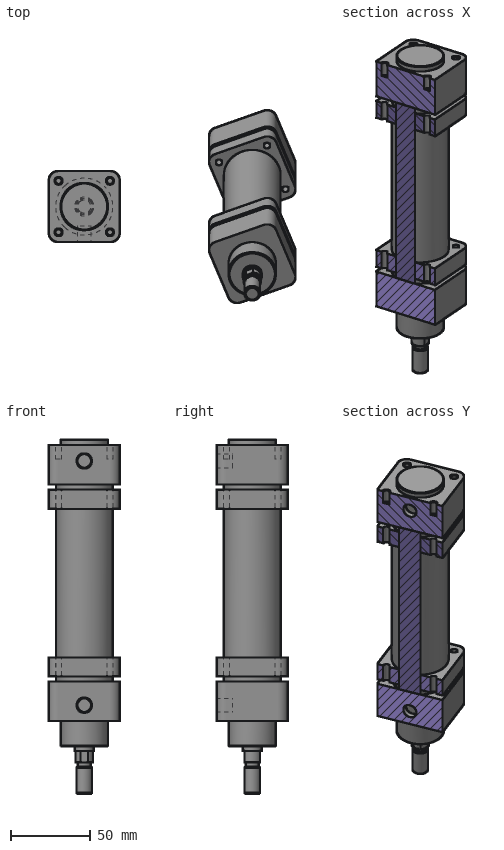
import cadquery as cq

TOTAL_LENGTH = 224.0
BLOCK_WIDTH = 45.0
CORNER_RADIUS = 6.0
BLOCK_HEIGHT = 25.0
FLANGE_HEIGHT = 12.0
FLANGE_GAP = 3.1

BARREL_DIAMETER = 36.0
BOSS_DIAMETER = 30.0
CAP_HEIGHT = 3.5
BOSS_LENGTH = 16.0
CAP_CHAMFER = 0.5
BOSS_CHAMFER = 0.7

PORT_DIAMETER = 8.7
PORT_DEPTH = 10.0
PORT_TO_OUTER_FACE = 10.0
SCREW_SPACING = 32.5
SCREW_HOLE_DIAMETER = 4.0
HEAD_HOLE_DEPTH = 9.0
HOLE_CHAMFER = 0.5

THREAD_DIAMETER = 10.0
THREAD_LENGTH = 17.2
TIP_CHAMFER = 1.0
NECK_DIAMETER = 8.5
NECK_LENGTH = 2.5
FLATS_DIAMETER = 11.2
FLATS_WIDTH = 10.0
FLATS_HEIGHT = 7.5
FLATS_CHAMFER = 0.5
COLLAR_DIAMETER = 12.0
ROD_LENGTH = 30.0

BOSS_BOTTOM = ROD_LENGTH
FRONT_HEAD_BOTTOM = BOSS_BOTTOM + BOSS_LENGTH
FRONT_HEAD_TOP = FRONT_HEAD_BOTTOM + BLOCK_HEIGHT
FRONT_FLANGE_BOTTOM = FRONT_HEAD_TOP + FLANGE_GAP
REAR_HEAD_TOP = TOTAL_LENGTH - CAP_HEIGHT
REAR_HEAD_BOTTOM = REAR_HEAD_TOP - BLOCK_HEIGHT
REAR_FLANGE_BOTTOM = REAR_HEAD_BOTTOM - FLANGE_GAP - FLANGE_HEIGHT


def rounded_block(bottom, height):
    """Square block with rounded vertical corners."""
    return (
        cq.Workplane("XY", origin=(0, 0, bottom))
        .rect(BLOCK_WIDTH, BLOCK_WIDTH)
        .extrude(height)
        .edges("|Z")
        .fillet(CORNER_RADIUS)
    )


def disc(diameter, bottom, height):
    return cq.Workplane("XY", origin=(0, 0, bottom)).circle(diameter / 2).extrude(height)


def chamfered_hole(diameter, depth):
    """Cutter for a blind hole with a chamfered mouth at Z = 0, running towards -Z."""
    mouth_diameter = diameter + 2 * HOLE_CHAMFER
    mouth = cq.Solid.makeCone(mouth_diameter / 2, diameter / 2, HOLE_CHAMFER, dir=cq.Vector(0, 0, -1))
    return disc(diameter, -depth, depth).union(cq.Workplane(mouth))


def port(level):
    """Cutter for a blind round port in the -Y face."""
    hole = chamfered_hole(PORT_DIAMETER, PORT_DEPTH)
    return hole.rotate((0, 0, 0), (1, 0, 0), 90).translate((0, -BLOCK_WIDTH / 2, level))


def screw_positions():
    half_spacing = SCREW_SPACING / 2
    return [(x, y) for x in (-half_spacing, half_spacing) for y in (-half_spacing, half_spacing)]


def make_front_head():
    boss = disc(BOSS_DIAMETER, BOSS_BOTTOM, BOSS_LENGTH).faces("<Z").chamfer(BOSS_CHAMFER)
    return (
        rounded_block(FRONT_HEAD_BOTTOM, BLOCK_HEIGHT)
        .union(boss)
        .cut(port(FRONT_HEAD_BOTTOM + PORT_TO_OUTER_FACE))
    )


def make_rear_head():
    cap = disc(BOSS_DIAMETER, REAR_HEAD_TOP, CAP_HEIGHT).faces(">Z").chamfer(CAP_CHAMFER)
    head = (
        rounded_block(REAR_HEAD_BOTTOM, BLOCK_HEIGHT)
        .union(cap)
        .cut(port(REAR_HEAD_TOP - PORT_TO_OUTER_FACE))
    )
    for x, y in screw_positions():
        head = head.cut(chamfered_hole(SCREW_HOLE_DIAMETER, HEAD_HOLE_DEPTH).translate((x, y, REAR_HEAD_TOP)))
    return head


def make_flange(bottom):
    """Square plate fitted around the barrel, with through screw holes."""
    flange = rounded_block(bottom, FLANGE_HEIGHT).cut(disc(BARREL_DIAMETER, bottom, FLANGE_HEIGHT))
    for x, y in screw_positions():
        flange = flange.cut(disc(SCREW_HOLE_DIAMETER, bottom, FLANGE_HEIGHT).translate((x, y, 0)))
    return flange


def make_barrel():
    return disc(BARREL_DIAMETER, FRONT_HEAD_TOP, REAR_HEAD_BOTTOM - FRONT_HEAD_TOP)


def make_rod():
    """Turned rod with a threaded tip, a narrow neck, two wrench flats and a collar."""
    thread_radius = THREAD_DIAMETER / 2
    neck_radius = NECK_DIAMETER / 2
    flats_radius = FLATS_DIAMETER / 2
    collar_radius = COLLAR_DIAMETER / 2
    flats_bottom = THREAD_LENGTH + NECK_LENGTH
    flats_top = flats_bottom + FLATS_HEIGHT
    rod = (
        cq.Workplane("XZ")
        .moveTo(0, 0)
        .lineTo(thread_radius - TIP_CHAMFER, 0)
        .lineTo(thread_radius, TIP_CHAMFER)
        .lineTo(thread_radius, THREAD_LENGTH - (thread_radius - neck_radius))
        .lineTo(neck_radius, THREAD_LENGTH)
        .lineTo(neck_radius, flats_bottom)
        .lineTo(flats_radius - FLATS_CHAMFER, flats_bottom)
        .lineTo(flats_radius, flats_bottom + FLATS_CHAMFER)
        .lineTo(flats_radius, flats_top)
        .lineTo(collar_radius, flats_top)
        .lineTo(collar_radius, ROD_LENGTH)
        .lineTo(0, ROD_LENGTH)
        .close()
        .revolve(360, (0, 0, 0), (0, 1, 0))
    )
    for side in (-1, 1):
        flat_cutter = (
            cq.Workplane("XY", origin=(0, side * (FLATS_WIDTH + FLATS_DIAMETER) / 2, flats_bottom))
            .rect(FLATS_DIAMETER, FLATS_DIAMETER)
            .extrude(FLATS_HEIGHT)
        )
        rod = rod.cut(flat_cutter)
    return rod


front_head = make_front_head()
rear_head = make_rear_head()
flanges = [make_flange(bottom) for bottom in (FRONT_FLANGE_BOTTOM, REAR_FLANGE_BOTTOM)]
barrel = make_barrel()
rod = make_rod()

result = cq.Compound.makeCompound(
    [front_head.val(), rear_head.val(), barrel.val(), rod.val()] + [flange.val() for flange in flanges]
)